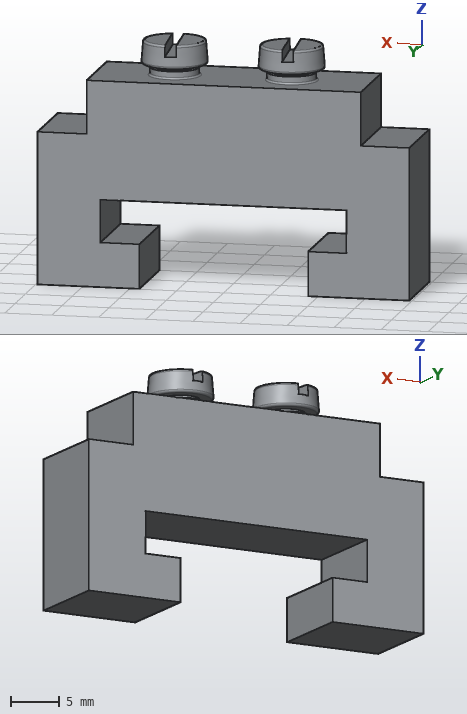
import cadquery as cq
import math

length = 39.5
width = 10.0
total_height = 25.6
body_height = 21.9
shoulder_height = 16.2
left_shoulder = 5.15
right_shoulder = 5.2
leg_thickness = 6.68
left_foot_length = 10.75
right_foot_length = 10.82
foot_height = 4.75
channel_top = 9.3

screw_spacing = 12.45
screw_row_offset = 0.05
collar_radius = 2.55
collar_height = 0.8
collar_fillet = 0.2
neck_radius = 1.98
head_bottom = 1.2
head_radius = 3.48
head_top_radius = 3.28
head_top_fillet = 0.25
head_bottom_fillet = 0.28
slot_width = 1.2
slot_depth = 1.22
slot_angle = 5.0


def make_body():
    left = -length / 2
    right = length / 2
    outline = [
        (left, 0),
        (left + left_foot_length, 0),
        (left + left_foot_length, foot_height),
        (left + leg_thickness, foot_height),
        (left + leg_thickness, channel_top),
        (right - leg_thickness, channel_top),
        (right - leg_thickness, foot_height),
        (right - right_foot_length, foot_height),
        (right - right_foot_length, 0),
        (right, 0),
        (right, shoulder_height),
        (right - right_shoulder, shoulder_height),
        (right - right_shoulder, body_height),
        (left + left_shoulder, body_height),
        (left + left_shoulder, shoulder_height),
        (left, shoulder_height),
    ]
    return cq.Workplane("XZ").polyline(outline).close().extrude(width / 2, both=True)


def make_screw():
    """Exposed part of a screw, standing on Z = 0."""
    screw_height = total_height - body_height
    head_height = screw_height - head_bottom

    collar = cq.Workplane("XY").circle(collar_radius).extrude(collar_height)
    fillet_edge = collar_radius + collar_fillet
    fillet_arc_inset = collar_fillet * (1 - math.sqrt(0.5))
    fillet_ring = (
        cq.Workplane("XZ")
        .lineTo(fillet_edge, 0)
        .threePointArc(
            (collar_radius + fillet_arc_inset, fillet_arc_inset),
            (collar_radius, collar_fillet),
        )
        .lineTo(0, collar_fillet)
        .close()
        .revolve(360, (0, 0, 0), (0, 1, 0))
    )
    neck = cq.Workplane("XY").circle(neck_radius).extrude(head_bottom)

    head = (
        cq.Workplane("XY", origin=(0, 0, head_bottom))
        .circle(head_radius)
        .workplane(offset=head_height)
        .circle(head_top_radius)
        .loft()
    )
    head = head.faces(">Z").edges().fillet(head_top_fillet)
    head = head.faces("<Z").edges().fillet(head_bottom_fillet)

    slot = (
        cq.Workplane("XY", origin=(0, 0, screw_height - slot_depth))
        .rect(slot_width, 2 * head_radius + slot_width)
        .extrude(slot_depth)
        .rotate((0, 0, 0), (0, 0, 1), slot_angle)
    )
    return collar.union(fillet_ring).union(neck).union(head.cut(slot))


result = make_body()
screw = make_screw()
for side in (-1, 1):
    screw_x = screw_row_offset + side * screw_spacing / 2
    result = result.union(screw.translate((screw_x, 0, body_height)))